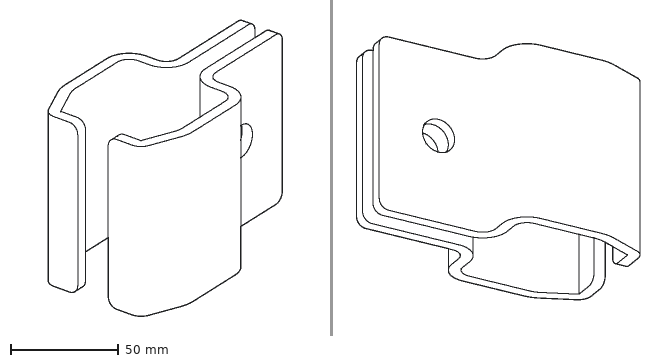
import cadquery as cq
import math

overall_width = 75.0
overall_depth = 131.0
height = 90.0
wall = 6.0

flange_gap = 10.0
lip_gap = 17.8

shoulder_bend = 7.0
side_bend = 14.0
lip_outer = 7.0
shoulder_back = 73.0
side_bend_start = 27.8
lean = 23.0

corner_radius = 5.0
hole_diameter = 17.0
hole_from_back = 31.5

side_x = overall_width / 2
flange_x = flange_gap / 2
lip_x = lip_gap / 2
shoulder_outer = shoulder_bend + wall
side_outer = side_bend + wall

flange_centre = (flange_x + shoulder_outer, shoulder_back + shoulder_bend)
shoulder_centre = (side_x - shoulder_outer, shoulder_back - shoulder_outer)
side_centre = (side_x - side_outer, side_bend_start)
slope = math.radians(lean)
slope_shift = (side_outer - lip_outer) - (side_bend_start - lip_outer) * math.sin(slope)
lip_centre = (side_centre[0] + slope_shift / math.cos(slope), lip_outer)
corner_shift = side_bend - (side_bend_start - wall) * math.sin(slope)
inside_corner = (side_centre[0] + corner_shift / math.cos(slope), wall)


def on_bend(centre, radius, angle):
    """Point on a bend at an angle in degrees, counter-clockwise from +X."""
    turn = math.radians(angle)
    return (centre[0] + radius * math.cos(turn), centre[1] + radius * math.sin(turn))


def add_bend(outline, centre, radius, start, end):
    """Run straight to the start of a bend, then follow it round to its end."""
    return outline.lineTo(*on_bend(centre, radius, start)).threePointArc(
        on_bend(centre, radius, (start + end) / 2), on_bend(centre, radius, end)
    )


def bent_sheet():
    """Sheet of constant thickness: flange, shoulder, side, sloped wall and lip."""
    outline = cq.Workplane("XY").moveTo(flange_x + wall, overall_depth)
    outline = add_bend(outline, flange_centre, shoulder_bend, 180, 270)
    outline = add_bend(outline, shoulder_centre, shoulder_outer, 90, 0)
    outline = add_bend(outline, side_centre, side_outer, 0, -lean)
    outline = add_bend(outline, lip_centre, lip_outer, -lean, -90)
    outline = outline.lineTo(lip_x, 0).lineTo(lip_x, wall)
    outline = outline.lineTo(*inside_corner)
    outline = add_bend(outline, side_centre, side_bend, -lean, 0)
    outline = add_bend(outline, shoulder_centre, shoulder_bend, 0, 90)
    outline = add_bend(outline, flange_centre, shoulder_outer, 270, 180)
    outline = outline.lineTo(flange_x, overall_depth).close()
    return outline.extrude(height)


def bolt_hole():
    """Cutter for the hole through the flange, along X at mid height."""
    return (
        cq.Workplane("YZ")
        .center(overall_depth - hole_from_back, height / 2)
        .circle(hole_diameter / 2)
        .extrude(side_x)
    )


def make_right_half():
    """Half on the +X side, with rounded flange and lip corners."""
    half = bent_sheet()
    half = half.faces(">Y").edges("|X").fillet(corner_radius)
    lip_edge = cq.selectors.NearestToPointSelector((lip_x, wall / 2, height / 2))
    half = half.faces(lip_edge).edges("|Y").fillet(corner_radius)
    return half.cut(bolt_hole())


right_half = make_right_half()
left_half = right_half.mirror("YZ")

result = cq.Compound.makeCompound([right_half.val(), left_half.val()])